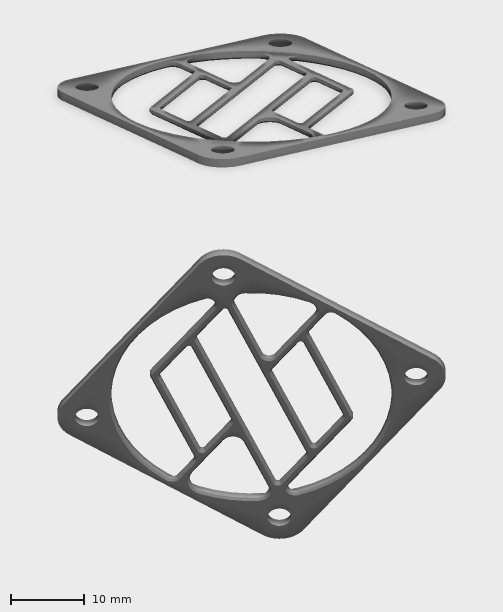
import cadquery as cq
import math

side = 40.0
thickness = 1.2
grille_thickness = 0.8
corner_radius = 4.0
screw_hole_diameter = 3.2
screw_hole_pitch = 32.0
opening_diameter = 38.0

long_bar_outer_y = 13.7
long_bar_inner_y = 12.45
short_bar_outer_y = 1.7
short_bar_inner_y = 0.55

slant_angle = 32.7
slanted_bar_width = 1.45
middle_bar_inner_x = 3.5
middle_bar_outer_x = middle_bar_inner_x + slanted_bar_width
side_bar_inner_x = 12.1
side_bar_outer_x = side_bar_inner_x + slanted_bar_width

sharp_slot_radius = 0.4
blunt_slot_radius = 0.8

outer_window_radius = 1.0
tip_radius = 1.6
right_inner_radius = 1.6
right_rim_radius = 2.4
left_inner_radius = 1.0
left_rim_radius = 1.6

underside_chamfer = 0.3


def slant_point(axis_x, y):
    """Point at height y on the slanted line that crosses the X axis at axis_x."""
    return (axis_x - y * math.tan(math.radians(slant_angle)), y)


def prism(points):
    """Block through the full thickness with the given outline."""
    return cq.Workplane("XY").polyline(points).close().extrude(thickness)


def half_turn(body):
    """The body turned to the opposite side of the centre."""
    return body.rotate((0, 0, 0), (0, 0, 1), 180)


def round_corner(body, point, radius):
    """Round the vertical edge of body that stands nearest to point."""
    nearest = cq.selectors.NearestToPointSelector((*point, thickness / 2))
    return body.edges("|Z").edges(nearest).fillet(radius)


def slanted_slot(left_x, right_x, bottom_y, top_y):
    """Parallelogram between two slanted lines, rounded tighter at its sharp corners."""
    sharp_corners = (slant_point(left_x, top_y), slant_point(right_x, bottom_y))
    blunt_corners = (slant_point(left_x, bottom_y), slant_point(right_x, top_y))
    slot = prism([sharp_corners[0], blunt_corners[0], sharp_corners[1], blunt_corners[1]])
    for corner in sharp_corners:
        slot = round_corner(slot, corner, sharp_slot_radius)
    for corner in blunt_corners:
        slot = round_corner(slot, corner, blunt_slot_radius)
    return slot


opening = cq.Workplane("XY").circle(opening_diameter / 2).extrude(thickness)


def outer_window():
    """Window between the grille and the +X, +Y stretch of the round opening."""
    outline = prism([
        (-side, long_bar_outer_y),
        slant_point(side_bar_outer_x, long_bar_outer_y),
        slant_point(side_bar_outer_x, -short_bar_inner_y),
        (side, -short_bar_inner_y),
        (side, side),
        (-side, side),
    ])
    return outline.intersect(opening).edges("|Z").fillet(outer_window_radius)


def three_sided_window(inner_radius, rim_end_radius):
    """Window on the +X, -Y side between a short bar, a middle bar and the round opening."""
    outline = prism([
        slant_point(middle_bar_outer_x, -short_bar_outer_y),
        slant_point(middle_bar_outer_x, -side),
        (side, -side),
        (side, -short_bar_outer_y),
    ])
    window = outline.intersect(opening)
    inner_corner = slant_point(middle_bar_outer_x, -short_bar_outer_y)
    rim_end_x = math.sqrt((opening_diameter / 2) ** 2 - short_bar_outer_y ** 2)
    window = window.edges("|Z").edges("<Y").fillet(tip_radius)
    window = round_corner(window, inner_corner, inner_radius)
    return round_corner(window, (rim_end_x, -short_bar_outer_y), rim_end_radius)


frame = (
    cq.Workplane("XY")
    .rect(side, side)
    .extrude(thickness)
    .edges("|Z")
    .fillet(corner_radius)
)

screw_holes = (
    cq.Workplane("XY")
    .rect(screw_hole_pitch, screw_hole_pitch, forConstruction=True)
    .vertices()
    .circle(screw_hole_diameter / 2)
    .extrude(thickness)
)

middle_slot = slanted_slot(-middle_bar_inner_x, middle_bar_inner_x, -long_bar_inner_y, long_bar_inner_y)
side_slot = slanted_slot(middle_bar_outer_x, side_bar_inner_x, -short_bar_inner_y, long_bar_inner_y)

result = frame.cut(middle_slot)
for window in (side_slot, outer_window()):
    result = result.cut(window).cut(half_turn(window))
result = result.cut(three_sided_window(right_inner_radius, right_rim_radius))
result = result.cut(half_turn(three_sided_window(left_inner_radius, left_rim_radius)))

result = result.cut(opening.translate((0, 0, grille_thickness)))

underside = result.faces("<Z").val()
window_edges = [edge for wire in underside.innerWires() for edge in wire.Edges()]
result = result.newObject(window_edges).chamfer(underside_chamfer)

result = result.cut(screw_holes)